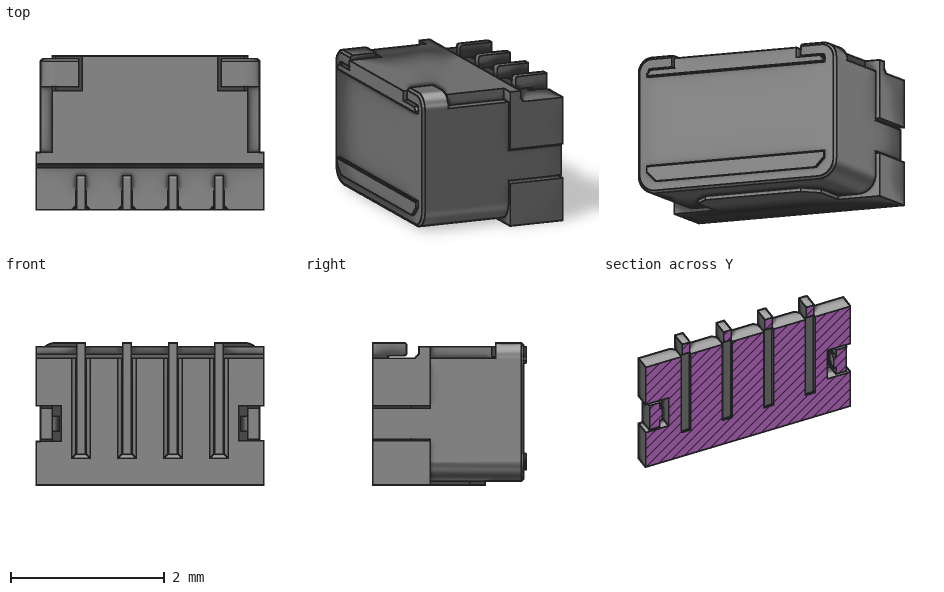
import cadquery as cq
import math

WIDTH = 2.96
HEIGHT = 1.85

BASE_DEPTH = 0.75
BASE_TOP = 1.8
STEP_TOP = 1.652
STEP_DEPTH = 0.55
STEP_CHAMFER = 0.05

SHELL_HALF_WIDTH = 1.427
SHELL_WALL = 0.155
SHELL_BOTTOM = 0.05
SHELL_BACK = 1.965
SHELL_LOWER_RADIUS = 0.25
SHELL_UPPER_RADIUS = 0.198
SHELL_BACK_CHAMFER = 0.033
SHELL_RIM = HEIGHT - SHELL_UPPER_RADIUS
TAB_FRONT = 1.6
TAB_INNER_X = 0.93

CORE_HALF_WIDTH = SHELL_HALF_WIDTH - SHELL_WALL
CORE_BACK = 2.0
POCKET_CLEARANCE = 0.05
POCKET_FLOOR = 1.67
POCKET_CHAMFER = 0.05
UPPER_BAR_BOTTOM = 1.585
LOWER_BAR_BOTTOM = 0.198
LOWER_BAR_TOP = 0.41
LOWER_BAR_CHAMFER = 0.12
BAR_EDGE_CHAMFER = 0.015

FOOT_HALF_WIDTH = 0.888
FOOT_BACK = 1.465
FOOT_TAPER = 0.2

NOTCH_TOP = 1.03
NOTCH_BOTTOM_LEFT = 0.568
NOTCH_BOTTOM_RIGHT = 0.577
NOTCH_INNER_X = 1.15
NOTCH_DEPTH = 0.503
ARM_BOTTOM = 0.598
ARM_TOP = 1.0
BARB_BOTTOM = 0.702
BARB_TOP = 0.897
BARB_HEIGHT = 0.095

CONTACT_COUNT = 4
CONTACT_PITCH = 0.598
CONTACT_WIDTH = 0.115
CONTACT_LENGTH = 0.445
CONTACT_LEG = 0.192
CONTACT_HOOK_BOTTOM = 1.68
CONTACT_RADIUS = 0.038
GROOVE_WIDTH = 0.135
GROOVE_DEPTH = 0.252
GROOVE_BOTTOM = 0.403
GROOVE_CHAMFER = 0.053


def block(x_range, y_range, z_range):
    """Box spanning the given ranges."""
    (x0, x1), (y0, y1), (z0, z1) = x_range, y_range, z_range
    return cq.Workplane("XY").box(x1 - x0, y1 - y0, z1 - z0, centered=False).translate((x0, y0, z0))


def mirrored(body):
    """Copy of a body on the opposite X side."""
    return body.mirror("YZ")


def make_base():
    outline = (
        cq.Workplane("YZ")
        .moveTo(0, 0)
        .lineTo(BASE_DEPTH, 0)
        .lineTo(BASE_DEPTH, BASE_TOP)
        .lineTo(STEP_DEPTH + STEP_CHAMFER, BASE_TOP)
        .lineTo(STEP_DEPTH + STEP_CHAMFER, STEP_TOP + STEP_CHAMFER)
        .lineTo(STEP_DEPTH, STEP_TOP)
        .lineTo(0, STEP_TOP)
        .close()
    )
    return outline.extrude(WIDTH / 2, both=True)


def make_shell_envelope():
    """Full rounded outline of the shell, up to the top of its tabs."""
    across = (-SHELL_HALF_WIDTH, SHELL_HALF_WIDTH)
    body = block(across, (BASE_DEPTH, SHELL_BACK), (SHELL_BOTTOM, HEIGHT))
    body = body.edges("|Y and >Z").fillet(SHELL_UPPER_RADIUS)
    body = body.edges("|Y and <Z").fillet(SHELL_LOWER_RADIUS)
    return body.faces(">Y").chamfer(SHELL_BACK_CHAMFER)


def make_shell_body():
    """Shell up to the straight top edge of its side walls."""
    across = (-SHELL_HALF_WIDTH, SHELL_HALF_WIDTH)
    below_rim = block(across, (BASE_DEPTH, SHELL_BACK), (SHELL_BOTTOM, SHELL_RIM))
    return make_shell_envelope().intersect(below_rim)


def make_tab():
    """Corner tab on the +X side, folded inwards from the top of the side wall."""
    along = (TAB_FRONT, SHELL_BACK)
    tab_space = block((TAB_INNER_X, SHELL_HALF_WIDTH), along, (SHELL_RIM, HEIGHT))
    bend_centre_x = SHELL_HALF_WIDTH - SHELL_UPPER_RADIUS
    diagonal = (SHELL_UPPER_RADIUS - SHELL_WALL) * math.sqrt(0.5)
    underside = (
        cq.Workplane("XZ", origin=(0, TAB_FRONT, 0))
        .moveTo(TAB_INNER_X, SHELL_RIM)
        .lineTo(CORE_HALF_WIDTH, SHELL_RIM)
        .threePointArc(
            (bend_centre_x + diagonal, SHELL_RIM + diagonal),
            (bend_centre_x, HEIGHT - SHELL_WALL),
        )
        .lineTo(TAB_INNER_X, HEIGHT - SHELL_WALL)
        .close()
        .extrude(TAB_FRONT - SHELL_BACK)
    )
    return make_shell_envelope().intersect(tab_space).cut(underside)


def make_core():
    """Core top with its rear bar, and the lower rear bar."""
    across = (-CORE_HALF_WIDTH, CORE_HALF_WIDTH)
    upper = block(across, (STEP_DEPTH + STEP_CHAMFER, CORE_BACK), (UPPER_BAR_BOTTOM, BASE_TOP))
    upper = upper.edges(">Y and <Z").chamfer(BAR_EDGE_CHAMFER)

    bar_front = SHELL_BACK - SHELL_BACK_CHAMFER
    lower = block(across, (bar_front, CORE_BACK), (LOWER_BAR_BOTTOM, LOWER_BAR_TOP))
    lower = lower.edges("|Y and <Z").chamfer(LOWER_BAR_CHAMFER)
    lower = lower.edges(">Y and >Z").chamfer(BAR_EDGE_CHAMFER)
    return upper.union(lower)


def make_tab_pocket():
    """Clearance in the core below the +X tab, its floor bevelled down towards the shell wall."""
    inner_x = TAB_INNER_X - POCKET_CLEARANCE
    front = TAB_FRONT - POCKET_CLEARANCE
    outline = [
        (inner_x, POCKET_FLOOR),
        (CORE_HALF_WIDTH - POCKET_CHAMFER, POCKET_FLOOR),
        (CORE_HALF_WIDTH, POCKET_FLOOR - POCKET_CHAMFER),
        (CORE_HALF_WIDTH, BASE_TOP),
        (inner_x, BASE_TOP),
    ]
    profile = cq.Workplane("XZ", origin=(0, front, 0)).polyline(outline).close()
    return profile.extrude(front - CORE_BACK)


def make_foot():
    tip_half_width = FOOT_HALF_WIDTH - FOOT_TAPER
    shoulder = FOOT_BACK - FOOT_TAPER
    outline = [
        (-FOOT_HALF_WIDTH, BASE_DEPTH),
        (FOOT_HALF_WIDTH, BASE_DEPTH),
        (FOOT_HALF_WIDTH, shoulder),
        (tip_half_width, FOOT_BACK),
        (-tip_half_width, FOOT_BACK),
        (-FOOT_HALF_WIDTH, shoulder),
    ]
    return cq.Workplane("XY").polyline(outline).close().extrude(SHELL_BOTTOM)


def make_notch(bottom):
    """Opening in the +X side of the base: a full-length channel for the arm and a
    shorter pocket beside it."""
    side = block((CORE_HALF_WIDTH, WIDTH / 2), (0, BASE_DEPTH), (bottom, NOTCH_TOP))
    inner = block((NOTCH_INNER_X, CORE_HALF_WIDTH), (0, NOTCH_DEPTH), (bottom, NOTCH_TOP))
    return side.union(inner)


def make_arm():
    """Latching arm on the +X side with a ramped barb on its inner face."""
    strip = block((CORE_HALF_WIDTH, SHELL_HALF_WIDTH), (0, BASE_DEPTH), (ARM_BOTTOM, ARM_TOP))
    barb_outline = [
        (CORE_HALF_WIDTH, 0),
        (CORE_HALF_WIDTH, NOTCH_DEPTH),
        (CORE_HALF_WIDTH - BARB_HEIGHT, NOTCH_DEPTH),
    ]
    barb = (
        cq.Workplane("XY")
        .workplane(offset=BARB_BOTTOM)
        .polyline(barb_outline)
        .close()
        .extrude(BARB_TOP - BARB_BOTTOM)
    )
    return strip.union(barb)


def make_groove():
    """Groove cutter, centred on X = 0, with a flared mouth and an open top."""
    slot_height = STEP_TOP - GROOVE_BOTTOM
    slot = block((-GROOVE_WIDTH / 2, GROOVE_WIDTH / 2), (0, GROOVE_DEPTH), (GROOVE_BOTTOM, STEP_TOP))
    mouth_width = GROOVE_WIDTH + 2 * GROOVE_CHAMFER
    mouth_height = 2 * (slot_height + GROOVE_CHAMFER)
    flare = (
        cq.Workplane("XZ", origin=(0, 0, STEP_TOP))
        .rect(mouth_width, mouth_height)
        .workplane(offset=-GROOVE_CHAMFER)
        .rect(GROOVE_WIDTH, 2 * slot_height)
        .loft(ruled=True)
    )
    return slot.union(flare)


def make_contact():
    """Hooked contact, centred on X = 0, standing on the groove floor."""
    outline = [
        (0, GROOVE_BOTTOM),
        (CONTACT_LEG, GROOVE_BOTTOM),
        (CONTACT_LEG, CONTACT_HOOK_BOTTOM),
        (CONTACT_LENGTH, CONTACT_HOOK_BOTTOM),
        (CONTACT_LENGTH, HEIGHT),
        (0, HEIGHT),
    ]
    contact = cq.Workplane("YZ").polyline(outline).close().extrude(CONTACT_WIDTH / 2, both=True)
    inner_corner = cq.selectors.NearestToPointSelector((0, CONTACT_LEG, CONTACT_HOOK_BOTTOM))
    contact = contact.edges("|X").edges(inner_corner).fillet(CONTACT_RADIUS)
    return contact.faces(">Y").edges("|X").fillet(CONTACT_RADIUS)


result = make_base()
result = result.cut(make_notch(NOTCH_BOTTOM_RIGHT)).cut(mirrored(make_notch(NOTCH_BOTTOM_LEFT)))
result = result.union(make_shell_body()).union(make_core()).union(make_foot())

arm = make_arm()
tab = make_tab()
tab_pocket = make_tab_pocket()
result = result.union(arm).union(mirrored(arm))
result = result.cut(tab_pocket).cut(mirrored(tab_pocket))
result = result.union(tab).union(mirrored(tab))

groove = make_groove()
contact = make_contact()
for index in range(CONTACT_COUNT):
    x = (index - (CONTACT_COUNT - 1) / 2) * CONTACT_PITCH
    result = result.cut(groove.translate((x, 0, 0)))
    result = result.union(contact.translate((x, 0, 0)))